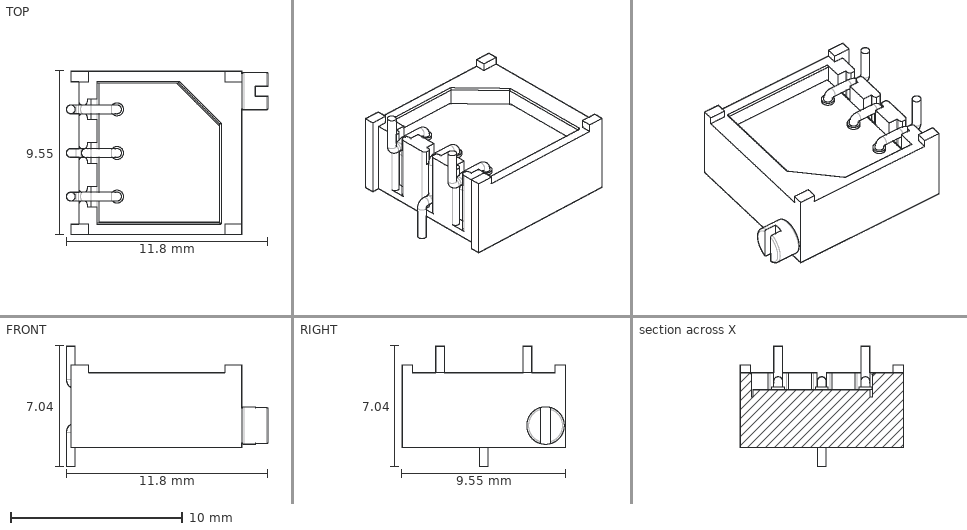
import cadquery as cq
import math


body_right = 10.0
body_left = 0.47
body_width = 9.55
body_top = 4.37
post_top = 4.83
post_depth = 0.62
left_post_length = 1.04
right_post_length = 1.0

cavity_left = 1.55
cavity_right = 8.7
cavity_half_width = 4.09
cavity_floor = 2.96
cavity_corner_sum = 10.39
rim_chamfer = 0.1

plate_left = 1.66
plate_front = -4.02
plate_top = 3.38
plate_corner_gap = 0.088

pin_pitch = 2.55
wire_radius = 0.26
bend_radius = 0.3
foot_bend_radius = 0.33
pin_top = 5.92
pin_bottom = -1.12
upper_run_z = 3.88
side_run_z = 3.68
center_run_z = 1.18
foot_x = 2.7
upper_run_end = 1.18
step_middle = 0.71
step_end = 0.46
solder_radius = 0.38
solder_height = 0.15

slot_floor = 0.46
lip_radius = 0.25
lip_offset = 0.48
channel_width = 0.53
channel_floor = 3.51
chamber_half_width = 0.6
chamber_back = 1.18

screw_radius = 1.1
screw_end = 11.53
screw_y = 3.61
screw_z = 1.29
screw_fillet = 0.11
screw_slot_width = 0.58
screw_slot_depth = 0.75

body_half_width = body_width / 2
chamber_front = body_left + 2 * lip_radius


def block(x0, x1, y0, y1, z0, z1):
    """Box between two opposite corners."""
    return cq.Workplane("XY").box(x1 - x0, y1 - y0, z1 - z0, centered=False).translate((x0, y0, z0))


def bevelled_outline(left, right, front, back, corner_sum, z):
    """Rectangle with its +X +Y corner cut off along x + y = corner_sum."""
    return (
        cq.Workplane("XY", origin=(0, 0, z))
        .moveTo(left, front)
        .lineTo(right, front)
        .lineTo(right, corner_sum - right)
        .lineTo(corner_sum - back, back)
        .lineTo(left, back)
        .close()
    )


def cavity():
    straight = bevelled_outline(
        cavity_left, cavity_right, -cavity_half_width, cavity_half_width, cavity_corner_sum, cavity_floor
    ).extrude(body_top - cavity_floor)
    rim = bevelled_outline(
        cavity_left - rim_chamfer,
        cavity_right,
        -cavity_half_width,
        cavity_half_width,
        cavity_corner_sum,
        body_top - rim_chamfer,
    ).extrude(rim_chamfer, taper=-45)
    pin_side = block(
        cavity_left, body_right, -body_half_width, body_half_width, cavity_floor, body_top
    )
    return straight.union(rim.intersect(pin_side))


def housing():
    body = block(body_left, body_right, -body_half_width, body_half_width, 0, body_top)
    for post_y in (-body_half_width, body_half_width - post_depth):
        left_post = block(0, left_post_length, post_y, post_y + post_depth, 0, post_top)
        right_post = block(
            body_right - right_post_length, body_right, post_y, post_y + post_depth, 0, post_top
        )
        body = body.union(left_post).union(right_post)
    return body.cut(cavity())


def pin_slot(y):
    """Slot between two round lips that are cut back near the top, with a chamber behind."""
    mouth = block(body_left, chamber_front, y - lip_offset, y + lip_offset, slot_floor, body_top)
    for side in (-1, 1):
        lip = (
            cq.Workplane("XY", origin=(body_left + lip_radius, y + side * lip_offset, slot_floor))
            .circle(lip_radius)
            .extrude(body_top - slot_floor)
        )
        mouth = mouth.cut(lip)
    channel = block(
        body_left, chamber_front, y - channel_width / 2, y + channel_width / 2, channel_floor, body_top
    )
    roll = cavity_left - chamber_back
    roll_middle = (cavity_left - roll * math.sqrt(0.5), cavity_floor - roll * (1 - math.sqrt(0.5)))
    chamber = (
        cq.Workplane("XZ", origin=(0, y + chamber_half_width, 0))
        .moveTo(chamber_front, slot_floor)
        .lineTo(chamber_back, slot_floor)
        .lineTo(chamber_back, cavity_floor - roll)
        .threePointArc(roll_middle, (cavity_left, cavity_floor))
        .lineTo(cavity_left, body_top)
        .lineTo(chamber_front, body_top)
        .close()
        .extrude(2 * chamber_half_width)
    )
    return mouth.union(channel).union(chamber)


def plate():
    return bevelled_outline(
        plate_left,
        cavity_right,
        plate_front,
        cavity_half_width,
        cavity_corner_sum - plate_corner_gap * math.sqrt(2),
        cavity_floor,
    ).extrude(plate_top - cavity_floor)


def wire_start(y):
    """Path from the plate, over the first bend and along the upper run towards -X."""
    return (
        cq.Workplane("XZ", origin=(0, y, 0))
        .moveTo(foot_x, plate_top)
        .lineTo(foot_x, upper_run_z - foot_bend_radius)
        .tangentArcPoint((foot_x - foot_bend_radius, upper_run_z), relative=False)
        .lineTo(upper_run_end, upper_run_z)
    )


def wire_along(path, y):
    return cq.Workplane("XY", origin=(foot_x, y, plate_top)).circle(wire_radius).sweep(path)


def side_pin(y):
    """Pin that steps down through its slot and turns up outside the housing."""
    step_slope = (upper_run_z - side_run_z) / (upper_run_end - step_end)
    step_middle_z = side_run_z + step_slope * (step_middle - step_end)
    path = (
        wire_start(y)
        .tangentArcPoint((step_middle, step_middle_z), relative=False)
        .tangentArcPoint((step_end, side_run_z), relative=False)
        .lineTo(bend_radius, side_run_z)
        .tangentArcPoint((0, side_run_z + bend_radius), relative=False)
        .lineTo(0, pin_top)
    )
    return wire_along(path, y)


def center_pin():
    """Pin that runs down inside its slot, then out and down below the housing."""
    drop_x = upper_run_end - bend_radius
    path = (
        wire_start(0)
        .tangentArcPoint((drop_x, upper_run_z - bend_radius), relative=False)
        .lineTo(drop_x, center_run_z + bend_radius)
        .tangentArcPoint((drop_x - bend_radius, center_run_z), relative=False)
        .lineTo(bend_radius, center_run_z)
        .tangentArcPoint((0, center_run_z - bend_radius), relative=False)
        .lineTo(0, pin_bottom)
    )
    return wire_along(path, 0)


def solder_pad(y):
    return cq.Workplane("XY", origin=(foot_x, y, plate_top)).circle(solder_radius).extrude(solder_height)


def screw():
    head = (
        cq.Workplane("YZ", origin=(body_right, screw_y, screw_z))
        .circle(screw_radius)
        .extrude(screw_end - body_right)
        .edges()
        .fillet(screw_fillet)
    )
    driver_slot = block(
        screw_end - screw_slot_depth,
        screw_end,
        screw_y - screw_slot_width / 2,
        screw_y + screw_slot_width / 2,
        screw_z - screw_radius,
        screw_z + screw_radius,
    )
    return head.cut(driver_slot)


slot_rows = (-pin_pitch, 0, pin_pitch)

result = housing()
for row in slot_rows:
    result = result.cut(pin_slot(row))
result = result.union(plate())
for row in slot_rows:
    result = result.union(solder_pad(row))
for pin in (side_pin(-pin_pitch), center_pin(), side_pin(pin_pitch)):
    result = result.union(pin)
result = result.union(screw())